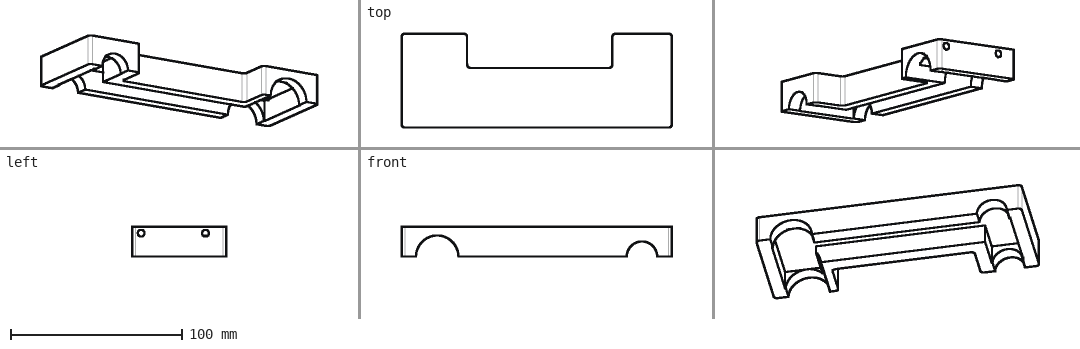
import cadquery as cq

length = 158.1
width = 55.0
height = 17.5
corner_radius = 2.0

notch_left = 38.4
notch_right = 123.2
notch_depth = 20.0

left_channel_radius = 12.3
right_channel_radius = 8.9
channels = [(20.9, left_channel_radius), (140.5, right_channel_radius)]

wall = 8.0
cavity_depth = left_channel_radius

hole_diameter = 4.0
hole_depth = wall
hole_z = 13.8
hole_y_positions = [12.2, 49.8]


def make_u_prism(inset, prism_height):
    """U-shaped prism standing on Z = 0, with all sides moved inward by inset."""
    left = inset
    right = length - inset
    front = inset
    back = width - inset
    notch_floor = width - notch_depth - inset
    left_leg_end = notch_left - inset
    right_leg_start = notch_right + inset
    outline = [
        (left, front),
        (right, front),
        (right, back),
        (right_leg_start, back),
        (right_leg_start, notch_floor),
        (left_leg_end, notch_floor),
        (left_leg_end, back),
        (left, back),
    ]
    return cq.Workplane("XY").polyline(outline).close().extrude(prism_height)


def make_channel(center_x, radius):
    """Cylinder running through the full width, centred on the underside."""
    profile = cq.Workplane("XZ").center(center_x, 0).circle(radius)
    return profile.extrude(-width)


def make_end_hole(y):
    """Cylinder entering the left end wall along +X."""
    profile = cq.Workplane("YZ").center(y, hole_z).circle(hole_diameter / 2)
    return profile.extrude(hole_depth)


result = make_u_prism(0, height).edges("|Z").fillet(corner_radius)
result = result.cut(make_u_prism(wall, cavity_depth))
for center_x, radius in channels:
    result = result.cut(make_channel(center_x, radius))
for y in hole_y_positions:
    result = result.cut(make_end_hole(y))